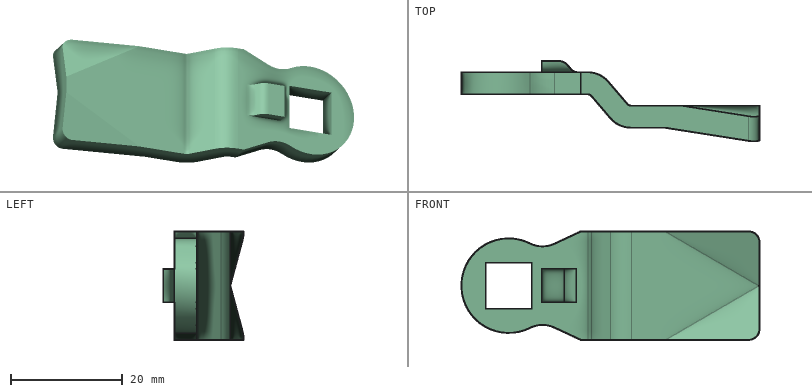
import cadquery as cq
import math


thickness = 4.0
width = 19.5
half_width = width / 2
tip_x = 45.0
tip_corner_radius = 2.0

head_radius = 8.5
square_hole_side = 8.2
neck_end_x = 12.95
neck_angle = math.radians(25)
neck_fillet_radius = 5.0

bend_start_x = 14.15
bend_step = 6.0
bend_angle = math.radians(49.5)
bend_inner_radius = 0.9
bend_outer_radius = bend_inner_radius + thickness

stop_start_x = 5.9
pocket_floor_end_x = 10.0
pocket_ramp_end_x = 12.1
bump_crest_x = 9.9
bump_foot_x = 11.65
stop_height = 2.0
stop_width = 6.0
bump_crest_radius = 2.0
bump_foot_radius = 1.5

fold_start_x = 28.0
fold_apex_x = 44.8
fold_drop = 2.44
back_fold_offset = 1.4

blade_front_y = -bend_step
blade_back_y = blade_front_y + thickness


def polar(center, radius, angle):
    """Point at an angle, counted from the first axis, on a circle."""
    return (center[0] + radius * math.cos(angle), center[1] + radius * math.sin(angle))


def make_bent_strip():
    """Full-width strip with its double bend, swept across the width."""
    right_angle = math.pi / 2
    bend_rise = (bend_inner_radius + bend_outer_radius) * (1 - math.cos(bend_angle))
    ramp_run = (bend_step - bend_rise) / math.tan(bend_angle)
    bend_end_x = bend_start_x + (bend_inner_radius + bend_outer_radius) * math.sin(bend_angle) + ramp_run
    first_center = (bend_start_x, -bend_inner_radius)
    second_center = (bend_end_x, blade_back_y + bend_inner_radius)

    first_mid = right_angle - bend_angle / 2
    first_end = right_angle - bend_angle
    second_start = -right_angle - bend_angle
    second_mid = -right_angle - bend_angle / 2

    return (
        cq.Workplane("XY", origin=(0, 0, -half_width))
        .moveTo(-head_radius, thickness)
        .lineTo(bend_start_x, thickness)
        .threePointArc(
            polar(first_center, bend_outer_radius, first_mid),
            polar(first_center, bend_outer_radius, first_end),
        )
        .lineTo(*polar(second_center, bend_inner_radius, second_start))
        .threePointArc(
            polar(second_center, bend_inner_radius, second_mid),
            (bend_end_x, blade_back_y),
        )
        .lineTo(tip_x, blade_back_y)
        .lineTo(tip_x, blade_front_y)
        .lineTo(bend_end_x, blade_front_y)
        .threePointArc(
            polar(second_center, bend_outer_radius, second_mid),
            polar(second_center, bend_outer_radius, second_start),
        )
        .lineTo(*polar(first_center, bend_inner_radius, first_end))
        .threePointArc(
            polar(first_center, bend_inner_radius, first_mid),
            (bend_start_x, 0),
        )
        .lineTo(-head_radius, 0)
        .close()
        .extrude(width)
    )


def fold_wings(strip):
    """Tilt both tip corners forward about their fold lines, keeping the sheet continuous."""
    fold_angle = math.atan2(half_width, fold_apex_x - fold_start_x)
    corner_x = tip_x - tip_corner_radius
    corner_z = half_width - tip_corner_radius
    wing_reach = (
        (corner_x - fold_apex_x) * math.sin(fold_angle)
        + corner_z * math.cos(fold_angle)
        + tip_corner_radius
    )
    tilt = fold_drop / wing_reach
    prism_reach = wing_reach + tip_corner_radius

    fold_plane = cq.Plane(
        origin=(fold_apex_x, 0, 0),
        xDir=(math.sin(fold_angle), 0, math.cos(fold_angle)),
        normal=(-math.cos(fold_angle), 0, math.sin(fold_angle)),
    )

    def upper_wedge(start, face_y):
        """Wedge between a flat blade face and the tilted face of the upper wing."""
        end_y = face_y - tilt * (prism_reach - start)
        return (
            cq.Workplane(fold_plane)
            .moveTo(start, face_y)
            .lineTo(prism_reach, face_y)
            .lineTo(prism_reach, end_y)
            .close()
            .extrude(width, both=True)
        )

    front_wedge = upper_wedge(0, blade_front_y)
    back_wedge = upper_wedge(back_fold_offset, blade_back_y)
    for added, removed in (
        (front_wedge, back_wedge),
        (front_wedge.mirror("XY"), back_wedge.mirror("XY")),
    ):
        strip = strip.union(added).cut(removed)
    return strip


def make_outline():
    """Lever outline seen along Y, as a block deep enough to trim the folded strip."""
    center_reach = head_radius + neck_fillet_radius
    across_flank = (
        half_width * math.cos(neck_angle) - neck_end_x * math.sin(neck_angle) + neck_fillet_radius
    )
    along_flank = math.sqrt(center_reach**2 - across_flank**2)
    center_angle = neck_angle + math.atan2(across_flank, along_flank)
    fillet_center = polar((0, 0), center_reach, center_angle)

    head_tangent = polar((0, 0), head_radius, center_angle)
    flank_start_angle = neck_angle - math.pi / 2
    head_side_angle = center_angle - math.pi
    fillet_mid = polar(fillet_center, neck_fillet_radius, (flank_start_angle + head_side_angle) / 2)
    flank_start = polar(fillet_center, neck_fillet_radius, flank_start_angle)

    def mirrored(point):
        return (point[0], -point[1])

    depth = 2 * (bend_step + thickness)
    return (
        cq.Workplane("XZ")
        .moveTo(*mirrored(head_tangent))
        .threePointArc((-head_radius, 0), head_tangent)
        .threePointArc(fillet_mid, flank_start)
        .lineTo(neck_end_x, half_width)
        .lineTo(tip_x, half_width)
        .lineTo(tip_x, -half_width)
        .lineTo(neck_end_x, -half_width)
        .lineTo(*mirrored(flank_start))
        .threePointArc(mirrored(fillet_mid), mirrored(head_tangent))
        .close()
        .extrude(depth, both=True)
        .edges("|Y and >X")
        .fillet(tip_corner_radius)
    )


def make_stop_block(base_y, flat_end_x, ramp_end_x):
    """Block raised from a given Y: a flat top with a ramp down toward the blade."""
    return (
        cq.Workplane("XY", origin=(0, 0, -stop_width / 2))
        .moveTo(stop_start_x, base_y)
        .lineTo(stop_start_x, base_y + stop_height)
        .lineTo(flat_end_x, base_y + stop_height)
        .lineTo(ramp_end_x, base_y)
        .close()
        .extrude(stop_width)
    )


def add_stop(body):
    """Raise the bump on the back, round its crest and foot, and sink the pocket in the front."""
    crest = cq.selectors.NearestToPointSelector((bump_crest_x, thickness + stop_height, 0))
    foot = cq.selectors.NearestToPointSelector((bump_foot_x, thickness, 0))
    bump = make_stop_block(thickness, bump_crest_x, bump_foot_x)
    bump = bump.edges(crest).fillet(bump_crest_radius)
    pocket = make_stop_block(0, pocket_floor_end_x, pocket_ramp_end_x)
    return body.union(bump).edges(foot).fillet(bump_foot_radius).cut(pocket)


def cut_square_hole(body):
    hole = cq.Workplane("XZ").rect(square_hole_side, square_hole_side).extrude(-thickness)
    return body.cut(hole)


lever = fold_wings(make_bent_strip()).intersect(make_outline())
result = cut_square_hole(add_stop(lever))